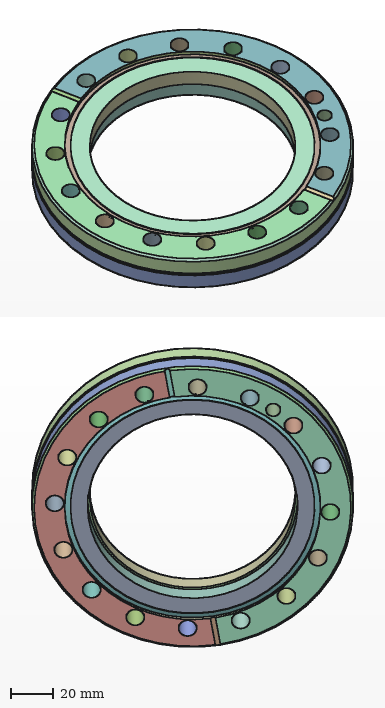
import cadquery as cq
import math

outer_radius = 76.0
thickness = 19.8
bore_radius = 48.6
lower_bore_radius = 49.7
edge_chamfer = 1.0

recess_radius = 60.5
knife_radius = 57.8
knife_depth = 0.9
inner_face_depth = 1.4
knife_slope = 20.0

rim_groove_width = 1.2
rim_groove_depth = 0.23

bolt_count = 16
bolt_circle_radius = 65.2
bolt_hole_diameter = 8.5
small_hole_diameter = 6.8
small_hole_angle = 56.25

leak_groove_angle = 11.25
leak_groove_width = 2.5
leak_groove_depth = 0.8

half_thickness = thickness / 2


def ring_body():
    """Revolve the flange section, with both sealing recesses and the rim groove, then relieve the lower bore."""
    slope_drop = (recess_radius - knife_radius) * math.tan(math.radians(knife_slope))
    recess_bottom = half_thickness - knife_depth - slope_drop
    inner_face = half_thickness - inner_face_depth
    upper_half = [
        (bore_radius, inner_face),
        (knife_radius, inner_face),
        (knife_radius, half_thickness - knife_depth),
        (recess_radius, recess_bottom),
        (recess_radius, half_thickness),
        (outer_radius - edge_chamfer, half_thickness),
        (outer_radius, half_thickness - edge_chamfer),
        (outer_radius, rim_groove_width / 2),
        (outer_radius - rim_groove_depth, rim_groove_width / 2),
    ]
    lower_half = [(radius, -height) for radius, height in reversed(upper_half)]
    section = cq.Workplane("XZ").polyline(upper_half + lower_half).close()
    ring = section.revolve(360, (0, 0, 0), (0, 1, 0))
    bore_relief = cq.Workplane("XY").circle(lower_bore_radius).extrude(-half_thickness)
    return ring.cut(bore_relief)


def through_holes():
    """Cylinders for the bolt circle and the smaller hole on the same circle."""
    bolts = (
        cq.Workplane("XY")
        .polarArray(bolt_circle_radius, 0, 360, bolt_count)
        .circle(bolt_hole_diameter / 2)
        .extrude(half_thickness, both=True)
    )
    small_hole = (
        cq.Workplane("XY")
        .polarArray(bolt_circle_radius, small_hole_angle, 360, 1)
        .circle(small_hole_diameter / 2)
        .extrude(half_thickness, both=True)
    )
    return bolts.union(small_hole)


def leak_groove(face_side):
    """Round bar across the ring on the +Z (1) or -Z (-1) face, cutting two opposite grooves."""
    half_width = leak_groove_width / 2
    bar_radius = (half_width**2 + leak_groove_depth**2) / (2 * leak_groove_depth)
    bar_height = half_thickness - leak_groove_depth + bar_radius
    bar = (
        cq.Workplane("YZ")
        .center(0, face_side * bar_height)
        .circle(bar_radius)
        .extrude(outer_radius, both=True)
    )
    keep_out = cq.Workplane("XY").circle(recess_radius).extrude(thickness, both=True)
    return bar.cut(keep_out).rotate((0, 0, 0), (0, 0, 1), leak_groove_angle)


result = ring_body().cut(through_holes())
for side in (1, -1):
    result = result.cut(leak_groove(side))